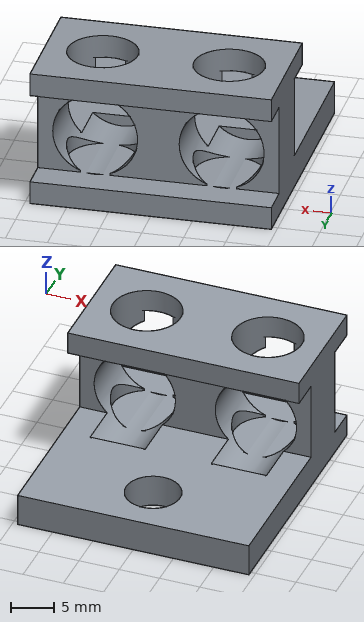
import cadquery as cq

width = 28.75
length = 31.17
height = 16.75

flange_depth = 15.25
flange_thickness = 2.8
web_thickness = 7.6
base_thickness = 4.05
flange_front = length - flange_depth
web_center = length - flange_depth / 2
web_front = web_center - web_thickness / 2
web_back = web_center + web_thickness / 2

bore_spacing = 15.05
bore_diameter = 10.1
bore_height = 7.75
bore_front = 14.35
well_diameter = 8.4

mount_diameter = 6.67
mount_setback = 6.33


def make_body():
    """Extrude the side profile across the full width."""
    profile = [
        (0, 0),
        (length, 0),
        (length, flange_thickness),
        (web_back, flange_thickness),
        (web_back, height - flange_thickness),
        (length, height - flange_thickness),
        (length, height),
        (flange_front, height),
        (flange_front, height - flange_thickness),
        (web_front, height - flange_thickness),
        (web_front, base_thickness),
        (0, base_thickness),
    ]
    return cq.Workplane("YZ").polyline(profile).close().extrude(width)


def make_bore(x):
    """Horizontal bore that also grooves the base and stops at the back of the web."""
    plane = cq.Workplane("XZ", origin=(x, bore_front, bore_height))
    return plane.circle(bore_diameter / 2).extrude(-(web_back - bore_front))


def make_well(x):
    """Vertical hole from the top down to the level of the rear base flange."""
    plane = cq.Workplane("XY", origin=(x, web_center, flange_thickness))
    return plane.circle(well_diameter / 2).extrude(height - flange_thickness)


def make_mounting_hole():
    plane = cq.Workplane("XY", origin=(width / 2, mount_setback, 0))
    return plane.circle(mount_diameter / 2).extrude(base_thickness)


result = make_body().cut(make_mounting_hole())
for side in (-1, 1):
    bore_x = width / 2 + side * bore_spacing / 2
    result = result.cut(make_bore(bore_x)).cut(make_well(bore_x))